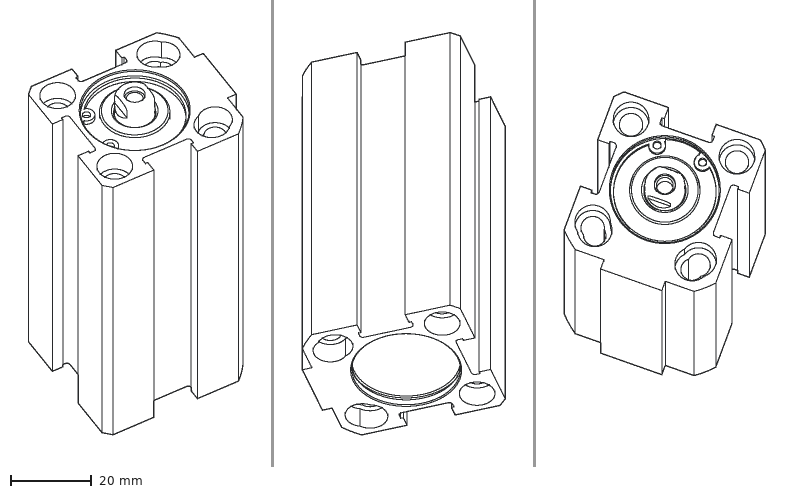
import cadquery as cq
import math


total_height = 95.0
rod_reach = 5.6
housing_height = total_height - rod_reach
width = 40.0
depth = 44.5
half_width = width / 2
body_back = 21.9
rail_back = depth - half_width
rail_width = 16.15
back_corner_radius = 27.0
front_chamfer = 2.0

slot_depth = 4.9
slot_mouth_width = 12.5
slot_lip = 3.0
slot_undercut = 0.7
slot_corner_radius = 0.9

hole_offset = 14.0
hole_diameter = 5.8
counterbore_diameter = 8.8
counterbore_depth = 5.7

second_hole_x = 12.8
second_hole_y = 15.6
second_hole_diameter = 5.5
second_counterbore_diameter = 8.55

bore_diameter = 27.0
bore_chamfer = 0.3
ring_outer_diameter = 28.4
ring_inner_diameter = 25.5
ring_depth = 1.9
ring_thickness = 1.2
lug_diameter = 4.2
lug_hole_diameter = 2.0
lug_circle_radius = 12.0
lug_half_angle = 30.3
ring_turn = 1.2

cover_length = 11.4
boss_diameter = 17.5
boss_top_depth = 0.2
boss_chamfer = 0.5
boss_root_radius = 0.4
rod_relief_diameter = 10.45
rod_relief_depth = 1.4
rod_relief_chamfer = 0.6

rod_diameter = 10.0
rod_end_radius = 1.2
flat_distance = 8.0
flat_length = 3.5
rod_socket_diameter = 5.2
rod_socket_depth = 1.4
rod_hole_diameter = 4.2
rod_hole_depth = 5.7

cover_face = housing_height - ring_depth - ring_thickness
cover_base = cover_face - cover_length


def cylinder(diameter, height, base, x=0, y=0):
    """An upright cylinder standing on the height `base`."""
    return cq.Workplane("XY", origin=(x, y, base)).circle(diameter / 2).extrude(height)


def circles_of(shape, diameter):
    """The circular edges of a shape that have the given diameter."""
    tolerance = 0.01
    return shape.edges("%CIRCLE").filter(lambda edge: abs(2 * edge.radius() - diameter) < tolerance)


def sensor_slot(turn):
    """The cutter for a slot that opens to -Y, turned about Z."""
    mouth = slot_mouth_width / 2
    inner = mouth + slot_undercut
    opening = -half_width
    shoulder = opening + slot_lip
    floor = opening + slot_depth
    cutter = cq.Workplane("XY").polyline([
        (-mouth, opening), (mouth, opening), (mouth, shoulder), (inner, shoulder),
        (inner, floor), (-inner, floor), (-inner, shoulder), (-mouth, shoulder),
    ]).close().extrude(housing_height)
    cutter = cutter.edges("|Z and >Y").fillet(slot_corner_radius)
    return cutter.rotate((0, 0, 0), (0, 0, 1), turn)


def counterbored_hole(x, y, diameter, counterbore):
    """The cutter for a through hole with a counterbore at both ends."""
    hole = cylinder(diameter, housing_height, 0, x, y)
    for base in (0, housing_height - counterbore_depth):
        hole = hole.union(cylinder(counterbore, counterbore_depth, base, x, y))
    return hole


def make_housing():
    body_depth = half_width + body_back
    middle_y = (body_back - half_width) / 2
    body = cq.Workplane("XY").center(0, middle_y).rect(width, body_depth).extrude(housing_height)
    body = body.edges("|Z and <Y").chamfer(front_chamfer)
    body = body.intersect(cylinder(2 * back_corner_radius, housing_height, 0))

    rail = cq.Workplane("XY").center(0, rail_back / 2).rect(rail_width, rail_back).extrude(housing_height)
    body = body.union(rail)

    for turn in (0, 90, -90):
        body = body.cut(sensor_slot(turn))

    for side in (-1, 1):
        for y in (-hole_offset, hole_offset):
            body = body.cut(counterbored_hole(side * hole_offset, y, hole_diameter, counterbore_diameter))
        body = body.cut(counterbored_hole(
            side * second_hole_x, second_hole_y, second_hole_diameter, second_counterbore_diameter))

    body = body.cut(cylinder(bore_diameter, housing_height, 0))
    body = circles_of(body, bore_diameter).chamfer(bore_chamfer)
    for base in (ring_depth, cover_face):
        body = body.cut(cylinder(ring_outer_diameter, ring_thickness, base))
    return body


def make_retaining_ring():
    """A C-shaped ring, open towards -Y, with a pierced lug at each end."""
    ring = cylinder(ring_outer_diameter, ring_thickness, cover_face)
    ring = ring.cut(cylinder(ring_inner_diameter, ring_thickness, cover_face))

    gap_half_angle = math.radians(lug_half_angle) - math.asin(lug_diameter / 2 / lug_circle_radius)
    gap_half_width = ring_outer_diameter * math.tan(gap_half_angle)
    gap = cq.Workplane("XY", origin=(0, 0, cover_face)).polyline([
        (0, 0), (-gap_half_width, -ring_outer_diameter), (gap_half_width, -ring_outer_diameter),
    ]).close().extrude(ring_thickness)
    ring = ring.cut(gap)

    for side in (-1, 1):
        angle = math.radians(side * lug_half_angle)
        x = lug_circle_radius * math.sin(angle)
        y = -lug_circle_radius * math.cos(angle)
        ring = ring.union(cylinder(lug_diameter, ring_thickness, cover_face, x, y))
        ring = ring.cut(cylinder(lug_hole_diameter, ring_thickness, cover_face, x, y))
    return ring.rotate((0, 0, 0), (0, 0, 1), -ring_turn)


def make_rod_cover():
    boss_top = housing_height - boss_top_depth
    boss = cylinder(boss_diameter, boss_top - cover_base, cover_base)
    boss = boss.faces(">Z").edges().chamfer(boss_chamfer)
    cover = cylinder(bore_diameter, cover_length, cover_base).union(boss)
    boss_root = circles_of(cover, boss_diameter).edges("<Z")
    cover = boss_root.fillet(boss_root_radius)

    cover = cover.cut(cylinder(rod_diameter, boss_top - cover_base, cover_base))
    cover = cover.cut(cylinder(rod_relief_diameter, rod_relief_depth, boss_top - rod_relief_depth))
    relief_rim = circles_of(cover.faces(">Z"), rod_relief_diameter)
    return relief_rim.chamfer(rod_relief_chamfer)


def make_rod():
    rod = cylinder(rod_diameter, total_height - cover_base, cover_base)
    rod = rod.faces(">Z").edges().fillet(rod_end_radius)

    flat = flat_distance / 2
    flat_end = total_height - flat_length
    flat_side = cq.Workplane("YZ").polyline([
        (flat, total_height), (flat, flat_end),
        (rod_diameter, flat_end - (rod_diameter - flat)), (rod_diameter, total_height),
    ]).close().extrude(rod_diameter / 2, both=True)
    rod = rod.cut(flat_side).cut(flat_side.mirror("XZ"))

    socket = rod_socket_diameter / 2
    socket_end = total_height - rod_socket_depth
    radius = rod_hole_diameter / 2
    hole_end = total_height - rod_hole_depth
    hole = cq.Workplane("XZ").polyline([
        (0, total_height), (socket, total_height), (socket, socket_end),
        (radius, socket_end), (radius, hole_end), (0, hole_end - radius),
    ]).close().revolve(360, (0, 0, 0), (0, 1, 0))
    return rod.cut(hole)


housing = make_housing()
retaining_ring = make_retaining_ring()
rod_cover = make_rod_cover()
rod = make_rod()

result = cq.Compound.makeCompound([
    housing.val(),
    retaining_ring.val(),
    rod_cover.val(),
    rod.val(),
])